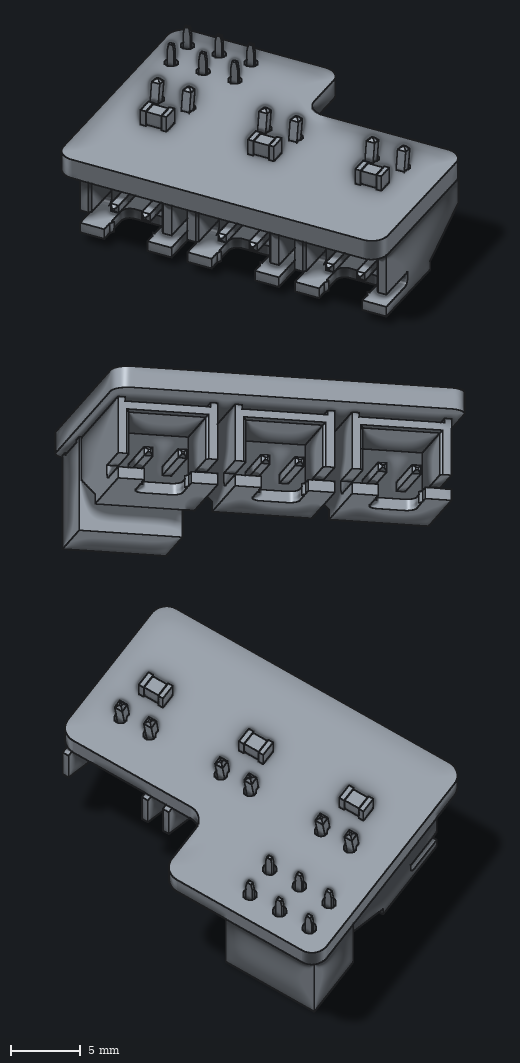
import cadquery as cq
import math


BOARD_LENGTH = 26.05
BOARD_DEPTH = 19.05
BOARD_THICKNESS = 1.6
BOARD_CORNER_RADIUS = 1.3
TAB_LENGTH = 13.33
MAIN_DEPTH = 13.38

CHANNEL_COUNT = 3
CHANNEL_PITCH = 8.62
FIRST_CHANNEL_X = 4.48

HOUSING_WIDTH = 7.35
HOUSING_WALL = 0.52
HOUSING_FRONT_Y = 2.35
CORE_BACK_Y = 9.3
WING_BACK_Y = 13.78
HOUSING_TOP_Z = -0.05
ROOF_TOP_Z = -0.36
WING_BACK_Z = -3.0
WING_FRONT_Z = -5.4
HOUSING_BOTTOM_Z = -6.12
CAVITY_WIDTH = 5.68
CAVITY_TOP_Z = -1.12
CAVITY_BACK_Y = 7.8
CAVITY_CHAMFER = 0.18
FLOOR_TOP_Z = -5.29
SLOT_TOP_Z = -4.25
SLOT_BACK_Y = 5.7
SLOT_FILLET = 0.45
FLOOR_CUT_WIDTH = 3.46
FLOOR_CUT_RADIUS = 0.73
BARB_START = 0.85
BARB_LENGTH = 0.35
BARB_HEIGHT = 0.18

CONTACT_COUNT = 2
CONTACT_PITCH = 2.5
CONTACT_SIZE = 0.65
CONTACT_CHAMFER = 0.23
CONTACT_Z = -3.78
CONTACT_TIP_Y = 2.85
CONTACT_TOP_Z = 3.35
CONTACT_TOP_Y = 9.9
CONTACT_LEAN = 8.5
CONTACT_HOLE_DIAMETER = 0.9
CONTACT_HOLE_Y = 9.92

SOCKET_X = 4.45
SOCKET_Y = 15.9
SOCKET_LENGTH = 7.63
SOCKET_DEPTH = 5.05
SOCKET_HEIGHT = 6.95
SOCKET_RELIEF_DEPTH = 3.39
SOCKET_RELIEF_HEIGHT = 0.18
SOCKET_COLUMNS = 3
SOCKET_ROWS = 2
SOCKET_PITCH = 2.55
BLADE_WIDTH = 0.55
BLADE_THICKNESS = 0.23
BLADE_TIP_WIDTH = 0.35
BLADE_SHOULDER_Z = 2.58
BLADE_TOP_Z = 3.18
BLADE_HOLE_DIAMETER = 1.0

CHIP_OFFSET_X = 0.23
CHIP_Y = 6.9
CHIP_LENGTH = 2.08
CHIP_DEPTH = 1.28
CHIP_HEIGHT = 1.25
CHIP_GAP = 0.05
CHIP_CAP_LENGTH = 0.42
CHIP_INSET = 0.08


def box(x_range, y_range, z_range):
    """Box spanning the given (low, high) limits."""
    size = [high - low for low, high in (x_range, y_range, z_range)]
    corner = (x_range[0], y_range[0], z_range[0])
    return cq.Workplane("XY").box(*size, centered=False).translate(corner)


def side_profile(points, width):
    """Extrude a closed (Y, Z) outline symmetrically about X = 0."""
    return cq.Workplane("YZ").polyline(points).close().extrude(width / 2, both=True)


def centered_positions(count, pitch):
    return [(i - (count - 1) / 2) * pitch for i in range(count)]


channel_xs = [FIRST_CHANNEL_X + i * CHANNEL_PITCH for i in range(CHANNEL_COUNT)]
contact_offsets = centered_positions(CONTACT_COUNT, CONTACT_PITCH)
blade_points = [
    (SOCKET_X + dx, SOCKET_Y + dy)
    for dx in centered_positions(SOCKET_COLUMNS, SOCKET_PITCH)
    for dy in centered_positions(SOCKET_ROWS, SOCKET_PITCH)
]


def make_housing_shell():
    """Core between two wings that reach back past it, with a shallow channel along the roof."""
    outline = [
        (HOUSING_FRONT_Y, HOUSING_TOP_Z),
        (WING_BACK_Y, HOUSING_TOP_Z),
        (WING_BACK_Y, WING_BACK_Z),
        (CORE_BACK_Y, WING_FRONT_Z),
        (CORE_BACK_Y, HOUSING_BOTTOM_Z),
        (HOUSING_FRONT_Y, HOUSING_BOTTOM_Z),
    ]
    inner_half = HOUSING_WIDTH / 2 - HOUSING_WALL
    inner_x = (-inner_half, inner_half)
    roof_channel = box(inner_x, (HOUSING_FRONT_Y, WING_BACK_Y), (ROOF_TOP_Z, HOUSING_TOP_Z))
    wing_gap = box(inner_x, (CORE_BACK_Y, WING_BACK_Y), (HOUSING_BOTTOM_Z, HOUSING_TOP_Z))
    return side_profile(outline, HOUSING_WIDTH).cut(roof_channel).cut(wing_gap)


def make_cavity():
    """Mating cavity, open at the front, with a tapered lead-in on its roof and sides."""
    half = CAVITY_WIDTH / 2
    mouth_half = half + CAVITY_CHAMFER
    mouth_top = CAVITY_TOP_Z + CAVITY_CHAMFER
    main = box((-half, half), (HOUSING_FRONT_Y, CAVITY_BACK_Y), (FLOOR_TOP_Z, CAVITY_TOP_Z))
    lead_in = (
        cq.Workplane("XZ", origin=(0, HOUSING_FRONT_Y, 0))
        .polyline([(-mouth_half, FLOOR_TOP_Z), (mouth_half, FLOOR_TOP_Z),
                   (mouth_half, mouth_top), (-mouth_half, mouth_top)]).close()
        .workplane(offset=-CAVITY_CHAMFER)
        .polyline([(-half, FLOOR_TOP_Z), (half, FLOOR_TOP_Z),
                   (half, CAVITY_TOP_Z), (-half, CAVITY_TOP_Z)]).close()
        .loft(ruled=True)
    )
    return main.union(lead_in)


def make_side_slot():
    """Slot through both side walls, just above the floor and rounded at its lower back edge."""
    half = HOUSING_WIDTH / 2
    slot = box((-half, half), (HOUSING_FRONT_Y, SLOT_BACK_Y), (FLOOR_TOP_Z, SLOT_TOP_Z))
    return slot.edges(">Y and <Z").fillet(SLOT_FILLET)


def make_floor_cut():
    """Cut in the floor, rounded at the back, with a small barb on each side near the front."""
    half = FLOOR_CUT_WIDTH / 2
    barb_half = half - BARB_HEIGHT
    barb_front_y = HOUSING_FRONT_Y + BARB_START
    barb_back_y = barb_front_y + BARB_LENGTH
    outline = [
        (-half, HOUSING_FRONT_Y),
        (half, HOUSING_FRONT_Y),
        (half, barb_front_y),
        (barb_half, barb_back_y),
        (half, barb_back_y),
        (half, SLOT_BACK_Y),
        (-half, SLOT_BACK_Y),
        (-half, barb_back_y),
        (-barb_half, barb_back_y),
        (-half, barb_front_y),
    ]
    cut = (
        cq.Workplane("XY", origin=(0, 0, HOUSING_BOTTOM_Z))
        .polyline(outline).close().extrude(FLOOR_TOP_Z - HOUSING_BOTTOM_Z)
    )
    return cut.faces(">Y").edges("|Z").fillet(FLOOR_CUT_RADIUS)


def make_contact(x):
    """Bent square contact: a level leg in the cavity and a leaning leg up through the board."""
    lean = math.radians(CONTACT_LEAN)
    bend_y = CONTACT_TOP_Y - (CONTACT_TOP_Z - CONTACT_Z) * math.tan(lean)
    half = CONTACT_SIZE / 2
    level_leg = box(
        (-half, half), (CONTACT_TIP_Y, bend_y), (CONTACT_Z - half, CONTACT_Z + half)
    ).faces("<Y").chamfer(CONTACT_CHAMFER)
    leg_length = (CONTACT_TOP_Z - CONTACT_Z) / math.cos(lean)
    leaning_leg = (
        box((-half, half), (-half, half), (-half, leg_length))
        .faces(">Z").chamfer(CONTACT_CHAMFER)
        .rotate((0, 0, 0), (1, 0, 0), -CONTACT_LEAN)
        .translate((0, bend_y, CONTACT_Z))
    )
    return level_leg.union(leaning_leg).translate((x, 0, 0))


def make_connector():
    connector = make_housing_shell().cut(make_cavity()).cut(make_side_slot()).cut(make_floor_cut())
    for x in contact_offsets:
        connector = connector.union(make_contact(x))
    return connector


def make_blade():
    """Flat blade from the socket up through the board, narrowed at its tip."""
    half = BLADE_WIDTH / 2
    tip_half = BLADE_TIP_WIDTH / 2
    outline = [
        (-half, -SOCKET_RELIEF_HEIGHT),
        (half, -SOCKET_RELIEF_HEIGHT),
        (half, BLADE_SHOULDER_Z),
        (tip_half, BLADE_TOP_Z),
        (-tip_half, BLADE_TOP_Z),
        (-half, BLADE_SHOULDER_Z),
    ]
    return cq.Workplane("XZ").polyline(outline).close().extrude(BLADE_THICKNESS / 2, both=True)


def make_socket():
    half_length = SOCKET_LENGTH / 2
    half_depth = SOCKET_DEPTH / 2
    half_relief = SOCKET_RELIEF_DEPTH / 2
    x_range = (SOCKET_X - half_length, SOCKET_X + half_length)
    socket = box(x_range, (SOCKET_Y - half_depth, SOCKET_Y + half_depth), (-SOCKET_HEIGHT, 0))
    relief = box(x_range, (SOCKET_Y - half_relief, SOCKET_Y + half_relief), (-SOCKET_RELIEF_HEIGHT, 0))
    socket = socket.cut(relief)
    for x, y in blade_points:
        socket = socket.union(make_blade().translate((x, y, 0)))
    return socket


def make_chip():
    half_length = CHIP_LENGTH / 2
    y_range = (CHIP_Y - CHIP_DEPTH / 2, CHIP_Y + CHIP_DEPTH / 2)
    bottom_z = BOARD_THICKNESS + CHIP_GAP
    z_range = (bottom_z, bottom_z + CHIP_HEIGHT)
    cap_start = half_length - CHIP_CAP_LENGTH
    chip = box(
        (-cap_start, cap_start),
        (y_range[0] + CHIP_INSET, y_range[1] - CHIP_INSET),
        (z_range[0] + CHIP_INSET, z_range[1] - CHIP_INSET),
    )
    for cap_x in ((-half_length, -cap_start), (cap_start, half_length)):
        chip = chip.union(box(cap_x, y_range, z_range))
    return chip


def make_board():
    outline = [
        (0, 0),
        (BOARD_LENGTH, 0),
        (BOARD_LENGTH, MAIN_DEPTH),
        (TAB_LENGTH, MAIN_DEPTH),
        (TAB_LENGTH, BOARD_DEPTH),
        (0, BOARD_DEPTH),
    ]
    board = cq.Workplane("XY").polyline(outline).close().extrude(BOARD_THICKNESS)
    board = board.edges("|Z").fillet(BOARD_CORNER_RADIUS)
    contact_points = [(x + dx, CONTACT_HOLE_Y) for x in channel_xs for dx in contact_offsets]
    for points, diameter in ((contact_points, CONTACT_HOLE_DIAMETER), (blade_points, BLADE_HOLE_DIAMETER)):
        holes = (
            cq.Workplane("XY").pushPoints(points)
            .circle(diameter / 2).extrude(BOARD_THICKNESS)
        )
        board = board.cut(holes)
    return board


connectors = [make_connector().translate((x, 0, 0)) for x in channel_xs]
chips = [make_chip().translate((x + CHIP_OFFSET_X, 0, 0)) for x in channel_xs]

board = make_board()
for connector in connectors:
    board = board.cut(connector)

socket = make_socket().cut(connectors[0])

result = cq.Compound.makeCompound(
    [board.val(), socket.val()]
    + [connector.val() for connector in connectors]
    + [chip.val() for chip in chips]
)